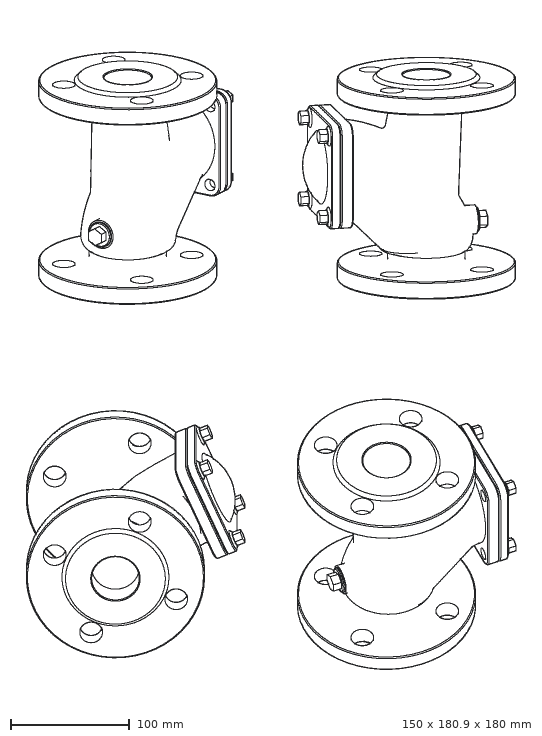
import cadquery as cq
import math


FACE_TO_FACE = 180.0
FLANGE_DIA = 150.0
FLANGE_THICKNESS = 15.0
FLANGE_CHAMFER = 1.0
RAISED_FACE_DIA = 90.0
RAISED_FACE_HEIGHT = 3.0
FLANGE_HOLE_DIA = 19.0
FLANGE_HOLE_CIRCLE = 110.0
FLANGE_HOLE_COUNT = 4
FIRST_HOLE_ANGLE = 45.0
ROOT_FILLET = 3.0
BORE_DIA = 40.0
BORE_CHAMFER = 0.8
HALF_LENGTH = FACE_TO_FACE / 2
FLANGE_FRONT = HALF_LENGTH - RAISED_FACE_HEIGHT
FLANGE_BACK = FLANGE_FRONT - FLANGE_THICKNESS

UPPER_NECK_DIA = 60.5
NECK_FOOT_DIA = 74.0
NECK_FOOT_Y = 10.3
NECK_FOOT_Z = -20.0
NECK_BLEND = 3.0

LOWER_NECK_DIA = 65.0
LOWER_NECK_TOP = -61.5

TILT = 45.0
BARREL_DIA = 80.0
BEND_RADIUS = BARREL_DIA / 2 + 0.2
PIVOT_Y = 40.3
PIVOT_Z = -58.3
BEND_START = 7.0
NOSE_MIDDLE_DIA = 77.0
BARREL_LENGTH = 47.0

SQUARE_SIDE = 90.0
SQUARE_CENTRE_Z = 14.5
SQUARE_CORNER = 10.0
SQUARE_CHAMFER = 1.0
SQUARE_BACK = 73.5
JOINT_Y = 84.2
COVER_FRONT = 92.5
COVER_TOP_Y = 105.88
DOME_BASE_RADIUS = 31.0

OUTLET_CORNER_Z = SQUARE_CENTRE_Z - BARREL_DIA / 2
OUTLET_MIDDLE_THINNING = 1.5

BOLT_OFFSET = SQUARE_SIDE / 2 - SQUARE_CORNER
BOLT_DIA = 8.0
BOLT_HOLE_DIA = 10.0
BOLT_HEAD_CORNERS = 12.0
BOLT_HEAD_TOP = 101.4
BOLT_END = 80.0
BOLT_PAD_TOP = 94.3
BOLT_PAD_BASE_DIA = 17.0
BOLT_PAD_TOP_DIA = 13.0

DRAIN_Z = -37.8
DRAIN_BOSS_DIA = 24.6
DRAIN_BOSS_END = -42.2
DRAIN_BOSS_ROOT = -20.0
DRAIN_BOSS_FILLET = 2.0
SEAM_TOLERANCE = 0.1
DRAIN_COLLAR_DIA = 21.6
DRAIN_COLLAR_LENGTH = 2.0
DRAIN_COLLAR_CHAMFER = 0.9
DRAIN_HEX_CORNERS = 15.0
DRAIN_HEX_END = -51.5

BALL_DIA = 65.0
PASSAGE_END_DIA = 36.0
PASSAGE_END_Y = 8.0
PASSAGE_END_Z = -8.0

tilt_cos = math.cos(math.radians(TILT))
tilt_sin = math.sin(math.radians(TILT))
barrel_start_y = PIVOT_Y - BEND_RADIUS * tilt_cos
barrel_start_z = PIVOT_Z + BEND_RADIUS * tilt_sin
ball_z = barrel_start_z - barrel_start_y * tilt_sin / tilt_cos
ball_to_barrel = barrel_start_y / tilt_cos
barrel_end_y = barrel_start_y + BARREL_LENGTH * tilt_cos
barrel_end_z = barrel_start_z + BARREL_LENGTH * tilt_sin
barrel_axis = (0, tilt_cos, tilt_sin)


def horizontal(y, z):
    """A plane facing +Z, centred on (0, y, z)."""
    return cq.Workplane("XY", origin=(0, y, z))


def facing_back(y, z):
    """A plane facing +Y, centred on (0, y, z)."""
    return cq.Workplane(cq.Plane(origin=(0, y, z), xDir=(1, 0, 0), normal=(0, 1, 0)))


def along_barrel(y, z):
    """A plane square to the barrel axis, centred on (0, y, z)."""
    return cq.Workplane(cq.Plane(origin=(0, y, z), xDir=(1, 0, 0), normal=barrel_axis))


def circle_wire(y, z, normal, diameter):
    """A circle centred on (0, y, z), square to the given direction."""
    return cq.Wire.makeCircle(diameter / 2, cq.Vector(0, y, z), cq.Vector(*normal))


def loft_circles(*wires):
    """A smooth solid through a row of circles."""
    return cq.Workplane(cq.Solid.makeLoft(list(wires)))


def pipe_flange(neck_dia):
    """The upper flange; its back blends into a neck of the given diameter."""
    outer = FLANGE_DIA / 2
    face = RAISED_FACE_DIA / 2
    neck = neck_dia / 2
    bend = ROOT_FILLET * (1 - math.sqrt(0.5))
    blank = (
        cq.Workplane("XZ")
        .moveTo(0, HALF_LENGTH)
        .lineTo(face - RAISED_FACE_HEIGHT, HALF_LENGTH)
        .lineTo(face, FLANGE_FRONT)
        .lineTo(outer - FLANGE_CHAMFER, FLANGE_FRONT)
        .lineTo(outer, FLANGE_FRONT - FLANGE_CHAMFER)
        .lineTo(outer, FLANGE_BACK + FLANGE_CHAMFER)
        .lineTo(outer - FLANGE_CHAMFER, FLANGE_BACK)
        .lineTo(neck + ROOT_FILLET, FLANGE_BACK)
        .threePointArc((neck + bend, FLANGE_BACK - bend), (neck, FLANGE_BACK - ROOT_FILLET))
        .lineTo(0, FLANGE_BACK - ROOT_FILLET)
        .close()
        .revolve(360, (0, 0, 0), (0, 1, 0))
    )
    holes = (
        horizontal(0, FLANGE_BACK)
        .polarArray(FLANGE_HOLE_CIRCLE / 2, FIRST_HOLE_ANGLE, 360, FLANGE_HOLE_COUNT)
        .circle(FLANGE_HOLE_DIA / 2)
        .extrude(FLANGE_THICKNESS)
    )
    return blank.cut(holes)


def upper_neck():
    return loft_circles(
        circle_wire(0, FLANGE_BACK - ROOT_FILLET, (0, 0, 1), UPPER_NECK_DIA),
        circle_wire(NECK_FOOT_Y, NECK_FOOT_Z, (0, 0, 1), NECK_FOOT_DIA),
    )


def barrel():
    """The nose on the lower neck, the bend, the straight barrel and its outlet to the square flange."""
    start_cos = math.cos(math.radians(BEND_START))
    start_sin = math.sin(math.radians(BEND_START))
    nose_y = PIVOT_Y - BEND_RADIUS * start_cos
    nose_z = PIVOT_Z + BEND_RADIUS * start_sin
    nose_axis = (0, start_sin, start_cos)
    middle_axis = (0, start_sin / 2, (1 + start_cos) / 2)
    nose = loft_circles(
        circle_wire(0, LOWER_NECK_TOP, (0, 0, 1), LOWER_NECK_DIA),
        circle_wire(nose_y / 2, (LOWER_NECK_TOP + nose_z) / 2, middle_axis, NOSE_MIDDLE_DIA),
        circle_wire(nose_y, nose_z, nose_axis, BARREL_DIA),
    )
    bend = (
        cq.Workplane(cq.Plane(origin=(0, nose_y, nose_z), xDir=(1, 0, 0), normal=nose_axis))
        .circle(BARREL_DIA / 2)
        .revolve(TILT - BEND_START, (1, BEND_RADIUS, 0), (-1, BEND_RADIUS, 0))
    )
    straight = along_barrel(barrel_start_y, barrel_start_z).circle(BARREL_DIA / 2).extrude(BARREL_LENGTH)
    return nose.union(bend).union(straight).union(outlet(0))


def outlet(wall):
    """The smooth turn from the barrel to the square flange, set in from the outside by a wall."""
    half_tilt = math.radians(TILT / 2)
    middle_dia = BARREL_DIA - OUTLET_MIDDLE_THINNING
    middle_y = SQUARE_BACK - middle_dia / 2 * math.sin(half_tilt)
    middle_z = OUTLET_CORNER_Z + middle_dia / 2 * math.cos(half_tilt)
    middle_axis = (0, math.cos(half_tilt), math.sin(half_tilt))
    return loft_circles(
        circle_wire(barrel_end_y, barrel_end_z, barrel_axis, BARREL_DIA - 2 * wall),
        circle_wire(middle_y, middle_z, middle_axis, middle_dia - 2 * wall),
        circle_wire(SQUARE_BACK, SQUARE_CENTRE_Z, (0, 1, 0), BARREL_DIA - 2 * wall),
    )


def square_plate(back_y, front_y):
    return (
        facing_back(back_y, SQUARE_CENTRE_Z)
        .rect(SQUARE_SIDE, SQUARE_SIDE)
        .extrude(front_y - back_y)
        .edges("|Y")
        .fillet(SQUARE_CORNER)
        .faces("<Y or >Y")
        .chamfer(SQUARE_CHAMFER)
    )


def at_bolts(y):
    """A workplane facing +Y at the given height, with a point on each bolt axis."""
    spacing = 2 * BOLT_OFFSET
    return facing_back(y, SQUARE_CENTRE_Z).rect(spacing, spacing, forConstruction=True).vertices()


def bolt_holes():
    return at_bolts(SQUARE_BACK).circle(BOLT_HOLE_DIA / 2).extrude(BOLT_PAD_TOP - SQUARE_BACK)


def drain_boss():
    return (
        facing_back(DRAIN_BOSS_END, DRAIN_Z)
        .circle(DRAIN_BOSS_DIA / 2)
        .extrude(DRAIN_BOSS_ROOT - DRAIN_BOSS_END)
    )


def drain_plug_head():
    collar = (
        facing_back(DRAIN_BOSS_END - DRAIN_COLLAR_LENGTH, DRAIN_Z)
        .circle(DRAIN_COLLAR_DIA / 2)
        .extrude(DRAIN_COLLAR_LENGTH)
        .faces("<Y")
        .chamfer(DRAIN_COLLAR_CHAMFER)
    )
    hexagon = (
        facing_back(DRAIN_HEX_END, DRAIN_Z)
        .transformed(rotate=(0, 0, 90))
        .polygon(6, DRAIN_HEX_CORNERS)
        .extrude(DRAIN_BOSS_END - DRAIN_HEX_END)
    )
    return collar.union(hexagon)


def chamber():
    """The round-ended ball chamber, running out through the square flange."""
    end = cq.Workplane(cq.Solid.makeSphere(BALL_DIA / 2, angleDegrees1=-90)).translate((0, 0, ball_z))
    run = along_barrel(0, ball_z).circle(BALL_DIA / 2).extrude(ball_to_barrel + BARREL_LENGTH)
    turn = outlet((BARREL_DIA - BALL_DIA) / 2)
    mouth = facing_back(SQUARE_BACK, SQUARE_CENTRE_Z).circle(BALL_DIA / 2).extrude(JOINT_Y - SQUARE_BACK)
    return end.union(run).union(turn).union(mouth)


def passages():
    """The upper passage into the chamber and the lower bore under the ball."""
    bore = horizontal(0, FLANGE_BACK).circle(BORE_DIA / 2).extrude(HALF_LENGTH - FLANGE_BACK)
    throat = loft_circles(
        circle_wire(0, FLANGE_BACK, (0, 0, 1), BORE_DIA),
        circle_wire(PASSAGE_END_Y, PASSAGE_END_Z, (0, 0, 1), PASSAGE_END_DIA),
    )
    mouth = loft_circles(
        circle_wire(0, HALF_LENGTH - BORE_CHAMFER, (0, 0, 1), BORE_DIA),
        circle_wire(0, HALF_LENGTH, (0, 0, 1), BORE_DIA + 2 * BORE_CHAMFER),
    )
    lower_bore = horizontal(0, -HALF_LENGTH).circle(BORE_DIA / 2).extrude(HALF_LENGTH + ball_z)
    return bore.union(throat).union(mouth).union(mouth.mirror("XY")).union(lower_bore)


def reaches(shape, height):
    """Whether a face or edge rises above the given height."""
    return shape.BoundingBox().zmax > height


def blend_neck(shell):
    """Round the seam where the upper neck stands on the barrel, leaving its top edge sharp."""
    neck_faces = [face for face in shell.faces().vals() if reaches(face, FLANGE_BACK - 2 * ROOT_FILLET)]
    seam = []
    for face in neck_faces:
        seam += [edge for edge in face.Edges() if not reaches(edge, FLANGE_BACK - 2 * ROOT_FILLET)]
    return shell.newObject(seam).fillet(NECK_BLEND)


def blend_drain_boss(shell):
    """Round the seam where the drain boss leaves the barrel."""
    seam = []
    for edge in shell.edges().vals():
        box = edge.BoundingBox()
        within_boss = max(-box.xmin, box.xmax) < DRAIN_BOSS_DIA / 2 + DRAIN_BOSS_FILLET
        between_ends = box.ymin > DRAIN_BOSS_END + SEAM_TOLERANCE and box.ymax < DRAIN_BOSS_ROOT
        if within_boss and between_ends and edge.geomType() != "LINE":
            seam.append(edge)
    return shell.newObject(seam).fillet(DRAIN_BOSS_FILLET)


def make_body():
    shell = blend_neck(barrel().union(upper_neck()))
    shell = blend_drain_boss(shell.union(drain_boss()))
    shell = shell.union(pipe_flange(UPPER_NECK_DIA))
    lower_neck = horizontal(0, -FLANGE_BACK).circle(LOWER_NECK_DIA / 2).extrude(LOWER_NECK_TOP + FLANGE_BACK)
    shell = shell.union(lower_neck).union(pipe_flange(LOWER_NECK_DIA).mirror("XY"))
    shell = shell.union(square_plate(SQUARE_BACK, JOINT_Y))
    shell = shell.cut(chamber()).cut(passages()).cut(bolt_holes())
    return shell.union(drain_plug_head())


def make_cover():
    dome_height = COVER_TOP_Y - COVER_FRONT
    dome_radius = (DOME_BASE_RADIUS**2 + dome_height**2) / (2 * dome_height)
    dome = (
        cq.Workplane("XY")
        .moveTo(0, COVER_FRONT)
        .lineTo(DOME_BASE_RADIUS, COVER_FRONT)
        .radiusArc((0, COVER_TOP_Y), -dome_radius)
        .close()
        .revolve(360, (0, 0, 0), (0, 1, 0))
        .translate((0, 0, SQUARE_CENTRE_Z))
    )
    pad_height = BOLT_PAD_TOP - COVER_FRONT
    pad_taper = math.degrees(math.atan((BOLT_PAD_BASE_DIA - BOLT_PAD_TOP_DIA) / 2 / pad_height))
    pads = at_bolts(COVER_FRONT).circle(BOLT_PAD_BASE_DIA / 2).extrude(pad_height, taper=pad_taper)
    return square_plate(JOINT_Y, COVER_FRONT).union(dome).union(pads).cut(bolt_holes())


def make_bolt(x, z):
    shank = facing_back(BOLT_END, 0).circle(BOLT_DIA / 2).extrude(BOLT_PAD_TOP - BOLT_END)
    head = (
        facing_back(BOLT_PAD_TOP, 0)
        .transformed(rotate=(0, 0, 90))
        .polygon(6, BOLT_HEAD_CORNERS)
        .extrude(BOLT_HEAD_TOP - BOLT_PAD_TOP)
    )
    return shank.union(head).translate((x, 0, z))


body = make_body()
cover = make_cover()
ball = cq.Workplane("XY").sphere(BALL_DIA / 2).translate((0, 0, ball_z))
bolts = []
for x_side in (-1, 1):
    for z_side in (-1, 1):
        bolts.append(make_bolt(x_side * BOLT_OFFSET, SQUARE_CENTRE_Z + z_side * BOLT_OFFSET))

result = cq.Compound.makeCompound(
    [
        body.solids().val(),
        cover.solids().val(),
        ball.solids().val(),
        *[bolt.solids().val() for bolt in bolts],
    ]
)